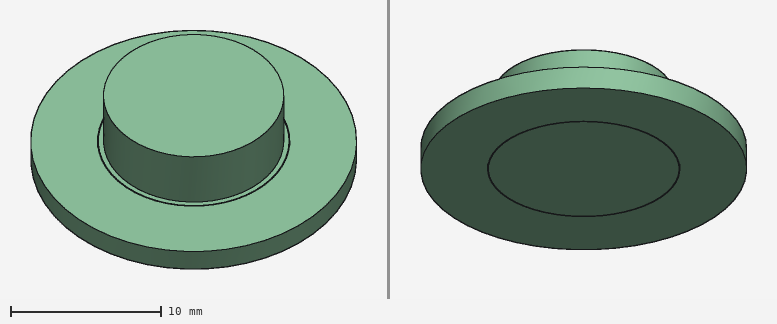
import cadquery as cq

ring_diameter = 21.7
ring_thickness = 1.6
total_height = 5.7

hole_diameter = 12.8
flange_diameter = 12.7
boss_diameter = 12.0
flange_thickness = ring_thickness


def make_ring():
    """Flat ring with a plain through hole."""
    return (
        cq.Workplane("XY")
        .circle(ring_diameter / 2)
        .circle(hole_diameter / 2)
        .extrude(ring_thickness)
    )


def make_plug():
    """Solid plug: a flange inside the ring, with a narrower boss rising from it."""
    flange = cq.Workplane("XY").circle(flange_diameter / 2).extrude(flange_thickness)
    boss = cq.Workplane("XY").circle(boss_diameter / 2).extrude(total_height)
    return flange.union(boss)


ring = make_ring()
plug = make_plug()

result = cq.Compound.makeCompound([ring.val(), plug.val()])